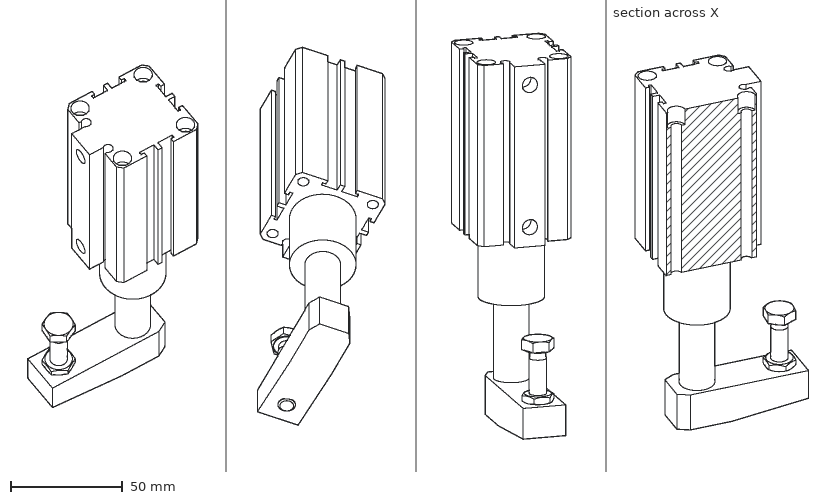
import cadquery as cq
import math


ARM_HEIGHT = 18.1
ROD_LENGTH = 37.8
COLLAR_LENGTH = 30.8
TOTAL_HEIGHT = 171.0

HOUSING_WIDTH = 44.0
CORNER_CUT = 2.4
PORT_BLOCK_WIDTH = 14.4
PORT_BLOCK_PROJECTION = 6.2

SLOT_OPENING = 14.4
SLOT_UNDERCUT_WIDTH = 17.6
SLOT_DEPTH = 3.5
SLOT_LIP = 2.0
SLOT_RIB_WIDTH = 2.2

GROOVE_OPENING = 3.2
GROOVE_RADIUS = 2.2
GROOVE_CENTER_DEPTH = 2.7

MOUNT_PITCH = 34.0
MOUNT_DIAMETER = 5.0
COUNTERBORE_DIAMETER = 8.2
COUNTERBORE_DEPTH = 8.0
PORT_DIAMETER = 7.0
PORT_DEPTH = 10.0
PORT_END_DISTANCE = 9.0

COLLAR_DIAMETER = 30.0
ROD_DIAMETER = 16.0

ARM_WIDTH = 20.0
ARM_BACK = 12.7
OVERALL_DEPTH = 72.0
ARM_CORNER_CUT_X = 2.9
ARM_CORNER_CUT_Y = 5.3
ARM_TAPER_START = -12.8
ARM_TIP_RISE = 3.8

BOLT_Y = -40.0
HEX_ACROSS_FLATS = 13.0
HEX_CHAMFER_SLOPE = math.tan(math.radians(30))
BOLT_DIAMETER = 7.9
BOLT_TIP_Z = 2.0
BOLT_TIP_CHAMFER = 0.9
BOLT_NECK_DIAMETER = 7.2
BOLT_NECK_LENGTH = 2.7
BOLT_CONE_LENGTH = 1.0
WASHER_FACE_DIAMETER = 11.8
WASHER_FACE_HEIGHT = 0.5
BOLT_HEAD_HEIGHT = 5.0
BOLT_TOP_ABOVE_ARM = 29.2
BOLT_TURN = -5.0
NUT_HEIGHT = 3.6
NUT_TOP_DIAMETER = 12.3

COLLAR_BOTTOM = ARM_HEIGHT + ROD_LENGTH
HOUSING_BOTTOM = COLLAR_BOTTOM + COLLAR_LENGTH
HOUSING_HEIGHT = TOTAL_HEIGHT - HOUSING_BOTTOM
HALF_WIDTH = HOUSING_WIDTH / 2
PORT_FACE_Y = -HALF_WIDTH - PORT_BLOCK_PROJECTION
ARM_FRONT = HALF_WIDTH - OVERALL_DEPTH
HEX_CORNER_DIAMETER = 2 * HEX_ACROSS_FLATS / math.sqrt(3)


def upright_box(x_min, x_max, y_min, y_max, z_min, height):
    """Box between two X and two Y limits, standing on z_min."""
    return (
        cq.Workplane("XY", origin=((x_min + x_max) / 2, (y_min + y_max) / 2, z_min))
        .rect(x_max - x_min, y_max - y_min)
        .extrude(height)
    )


def cylinder(diameter, z_min, height, x=0, y=0):
    """Vertical cylinder standing on z_min."""
    return cq.Workplane("XY", origin=(x, y, z_min)).circle(diameter / 2).extrude(height)


def sensor_slot(angle):
    """Cutter for a T-slot with a central rib; angle 0 is the back face, turned about Z."""
    floor_y = HALF_WIDTH - SLOT_DEPTH
    lip_y = HALF_WIDTH - SLOT_LIP
    half_rib = SLOT_RIB_WIDTH / 2
    half_opening = SLOT_OPENING / 2
    half_undercut = SLOT_UNDERCUT_WIDTH / 2
    half_profile = [
        (half_rib, floor_y),
        (half_undercut, floor_y),
        (half_undercut, lip_y),
        (half_opening, lip_y),
        (half_opening, HALF_WIDTH),
        (half_rib, HALF_WIDTH),
    ]
    slot_half = (
        cq.Workplane("XY", origin=(0, 0, HOUSING_BOTTOM))
        .polyline(half_profile)
        .close()
        .extrude(HOUSING_HEIGHT)
    )
    slot = slot_half.union(slot_half.mirror("YZ"))
    return slot.rotate((0, 0, 0), (0, 0, 1), angle)


def port_groove(side):
    """Cutter for the round-bottomed groove beside the port block; side is -1 or 1."""
    center_x = side * (PORT_BLOCK_WIDTH + GROOVE_OPENING) / 2
    center_y = -HALF_WIDTH + GROOVE_CENTER_DEPTH
    mouth = upright_box(
        center_x - GROOVE_OPENING / 2,
        center_x + GROOVE_OPENING / 2,
        -HALF_WIDTH,
        center_y,
        HOUSING_BOTTOM,
        HOUSING_HEIGHT,
    )
    bulb = cylinder(2 * GROOVE_RADIUS, HOUSING_BOTTOM, HOUSING_HEIGHT, center_x, center_y)
    return mouth.union(bulb)


def mounting_holes():
    """Cutter for the four counterbored through holes."""
    corners = (
        cq.Workplane("XY", origin=(0, 0, TOTAL_HEIGHT))
        .rect(MOUNT_PITCH, MOUNT_PITCH, forConstruction=True)
        .vertices()
    )
    through = corners.circle(MOUNT_DIAMETER / 2).extrude(-HOUSING_HEIGHT)
    counterbores = corners.circle(COUNTERBORE_DIAMETER / 2).extrude(-COUNTERBORE_DEPTH)
    return through.union(counterbores)


def air_port(z):
    """Cutter for a blind port in the face of the port block."""
    return (
        cq.Workplane("XZ", origin=(0, PORT_FACE_Y, z))
        .circle(PORT_DIAMETER / 2)
        .extrude(-PORT_DEPTH)
    )


def make_housing():
    cut_start = HALF_WIDTH - CORNER_CUT
    outline = [
        (cut_start, HALF_WIDTH),
        (HALF_WIDTH, cut_start),
        (HALF_WIDTH, -cut_start),
        (cut_start, -HALF_WIDTH),
        (-cut_start, -HALF_WIDTH),
        (-HALF_WIDTH, -cut_start),
        (-HALF_WIDTH, cut_start),
        (-cut_start, HALF_WIDTH),
    ]
    body = (
        cq.Workplane("XY", origin=(0, 0, HOUSING_BOTTOM))
        .polyline(outline)
        .close()
        .extrude(HOUSING_HEIGHT)
    )
    half_block = PORT_BLOCK_WIDTH / 2
    body = body.union(
        upright_box(-half_block, half_block, PORT_FACE_Y, 0, HOUSING_BOTTOM, HOUSING_HEIGHT)
    )
    for angle in (-90, 0, 90):
        body = body.cut(sensor_slot(angle))
    for side in (-1, 1):
        body = body.cut(port_groove(side))
    body = body.cut(mounting_holes())
    for z in (HOUSING_BOTTOM + PORT_END_DISTANCE, TOTAL_HEIGHT - PORT_END_DISTANCE):
        body = body.cut(air_port(z))
    return body


def make_collar():
    return cylinder(COLLAR_DIAMETER, COLLAR_BOTTOM, COLLAR_LENGTH)


def make_rod():
    return cylinder(ROD_DIAMETER, ARM_HEIGHT, ROD_LENGTH)


def make_arm():
    """Arm with cut back corners, an underside rising to the tip, and the bolt hole."""
    half_width = ARM_WIDTH / 2
    side_profile = [
        (ARM_BACK, 0),
        (ARM_BACK, ARM_HEIGHT),
        (ARM_FRONT, ARM_HEIGHT),
        (ARM_FRONT, ARM_TIP_RISE),
        (ARM_TAPER_START, 0),
    ]
    plan = [
        (half_width, ARM_FRONT),
        (half_width, ARM_BACK - ARM_CORNER_CUT_Y),
        (half_width - ARM_CORNER_CUT_X, ARM_BACK),
        (-half_width + ARM_CORNER_CUT_X, ARM_BACK),
        (-half_width, ARM_BACK - ARM_CORNER_CUT_Y),
        (-half_width, ARM_FRONT),
    ]
    side_shape = cq.Workplane("YZ").polyline(side_profile).close().extrude(half_width, both=True)
    plan_shape = cq.Workplane("XY").polyline(plan).close().extrude(ARM_HEIGHT)
    bolt_hole = cylinder(BOLT_DIAMETER, 0, ARM_HEIGHT, 0, BOLT_Y)
    return side_shape.intersect(plan_shape).cut(bolt_hole)


def chamfered_hex(z_min, height, bottom_diameter, top_diameter):
    """Hexagon on the Z axis, its corners cut by cones that end in the given bottom and top circles."""
    corner_radius = HEX_CORNER_DIAMETER / 2
    bottom_radius = bottom_diameter / 2
    top_radius = top_diameter / 2
    bottom_chamfer = (corner_radius - bottom_radius) * HEX_CHAMFER_SLOPE
    top_chamfer = (corner_radius - top_radius) * HEX_CHAMFER_SLOPE
    z_max = z_min + height
    profile = [(0, z_min), (bottom_radius, z_min)]
    if bottom_chamfer > 0:
        profile.append((corner_radius, z_min + bottom_chamfer))
    profile += [(corner_radius, z_max - top_chamfer), (top_radius, z_max), (0, z_max)]
    envelope = cq.Workplane("XZ").polyline(profile).close().revolve(360, (0, 0, 0), (0, 1, 0))
    prism = (
        cq.Workplane("XY", origin=(0, 0, z_min))
        .polygon(6, HEX_CORNER_DIAMETER)
        .extrude(height)
    )
    return prism.intersect(envelope)


def make_bolt():
    radius = BOLT_DIAMETER / 2
    neck_radius = BOLT_NECK_DIAMETER / 2
    washer_radius = WASHER_FACE_DIAMETER / 2
    head_bottom = ARM_HEIGHT + BOLT_TOP_ABOVE_ARM - BOLT_HEAD_HEIGHT
    washer_bottom = head_bottom - WASHER_FACE_HEIGHT
    neck_bottom = washer_bottom - BOLT_NECK_LENGTH
    shank = (
        cq.Workplane("XZ")
        .polyline(
            [
                (0, BOLT_TIP_Z),
                (radius - BOLT_TIP_CHAMFER, BOLT_TIP_Z),
                (radius, BOLT_TIP_Z + BOLT_TIP_CHAMFER),
                (radius, neck_bottom - BOLT_CONE_LENGTH),
                (neck_radius, neck_bottom),
                (neck_radius, washer_bottom),
                (washer_radius, washer_bottom),
                (washer_radius, head_bottom),
                (0, head_bottom),
            ]
        )
        .close()
        .revolve(360, (0, 0, 0), (0, 1, 0))
    )
    head = chamfered_hex(head_bottom, BOLT_HEAD_HEIGHT, HEX_CORNER_DIAMETER, HEX_ACROSS_FLATS)
    head = head.rotate((0, 0, 0), (0, 0, 1), BOLT_TURN)
    return shank.union(head).translate((0, BOLT_Y, 0))


def make_nut():
    nut = chamfered_hex(ARM_HEIGHT, NUT_HEIGHT, HEX_ACROSS_FLATS, NUT_TOP_DIAMETER)
    nut = nut.cut(cylinder(BOLT_DIAMETER, ARM_HEIGHT, NUT_HEIGHT))
    return nut.translate((0, BOLT_Y, 0))


housing = make_housing().solids()
collar = make_collar().solids()
rod = make_rod().solids()
arm = make_arm().solids()
bolt = make_bolt().solids()
nut = make_nut().solids()

result = cq.Compound.makeCompound(
    [housing.val(), collar.val(), rod.val(), arm.val(), bolt.val(), nut.val()]
)